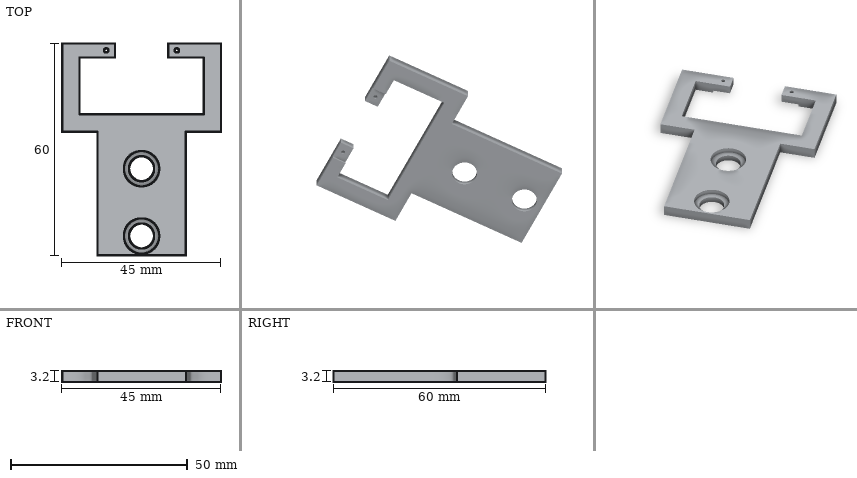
import cadquery as cq

length = 60.0
head_width = 45.0
thickness = 3.2

stem_width = 25.0
stem_length = 35.0
rail_width = 5.0
lip_width = 4.0
mouth_width = 15.0

bore_diameter = 7.0
counterbore_diameter = 10.0
counterbore_depth = 1.5
first_bore_y = 5.5
bore_spacing = 19.0

pin_diameter = 1.15
pin_spacing = 20.0

relief_length = 5.0
relief_depth = 0.7

head_length = length - stem_length
window_width = head_width - 2 * rail_width
window_length = head_length - rail_width - lip_width


def centred_block(width, depth, start_y):
    """Full-thickness block centred on X, running in +Y from start_y."""
    return (
        cq.Workplane("XY")
        .box(width, depth, thickness, centered=(True, False, False))
        .translate((0, start_y, 0))
    )


stem = centred_block(stem_width, stem_length, 0)
head = centred_block(head_width, head_length, stem_length)
window = centred_block(window_width, window_length, stem_length + rail_width)
mouth = centred_block(mouth_width, lip_width, length - lip_width)
plate = stem.union(head).cut(window).cut(mouth)

bore_points = [(0, first_bore_y + i * bore_spacing) for i in range(2)]
plate = (
    plate.faces(">Z")
    .workplane(origin=(0, 0, thickness))
    .pushPoints(bore_points)
    .cboreHole(bore_diameter, counterbore_diameter, counterbore_depth)
)

pin_points = [(side * pin_spacing / 2, length - lip_width / 2) for side in (-1, 1)]
plate = (
    plate.faces(">Z")
    .workplane(origin=(0, 0, thickness))
    .pushPoints(pin_points)
    .hole(pin_diameter)
)

relief_span = mouth_width + 2 * relief_length
relief = cq.Workplane("XY").box(relief_span, lip_width, relief_depth, centered=(True, False, False))
result = plate.cut(relief.translate((0, length - lip_width, 0)))